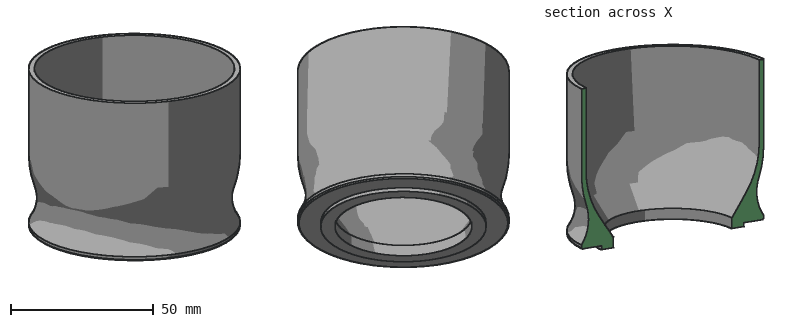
import cadquery as cq

rim_radius = 37.1
wall = 2.0
height = 60.0
outer_wall_bottom = 28.3
inner_wall_bottom = 29.8

waist_blend_radius = 35.2
waist_blend_z = 17.35

spigot_radius = 29.0
spigot_height = 1.4
flange_thickness = 1.6
flange_chamfer = 0.5

bowl_bottom_radius = 29.8
bowl_bottom_z = 12.5
bore_radius = 24.0
bore_length = 4.0

cavity_radius = rim_radius - wall
flange_top = spigot_height + flange_thickness


def outer_body():
    """Solid of revolution inside the outer surface; sketch X is the radius and sketch Y is the height."""
    half_section = (
        cq.Workplane("XZ")
        .moveTo(0, height)
        .lineTo(rim_radius, height)
        .lineTo(rim_radius, outer_wall_bottom)
        .tangentArcPoint((waist_blend_radius, waist_blend_z), relative=False)
        .tangentArcPoint((rim_radius, flange_top), relative=False)
        .lineTo(rim_radius, spigot_height + flange_chamfer)
        .lineTo(rim_radius - flange_chamfer, spigot_height)
        .lineTo(spigot_radius, spigot_height)
        .lineTo(spigot_radius, 0)
        .lineTo(0, 0)
        .close()
    )
    return half_section.revolve(360, (0, 0), (0, 1))


def cavity():
    """Everything removed from the inside, from the open rim down through the bore."""
    half_section = (
        cq.Workplane("XZ")
        .moveTo(0, height)
        .lineTo(cavity_radius, height)
        .lineTo(cavity_radius, inner_wall_bottom)
        .tangentArcPoint((bowl_bottom_radius, bowl_bottom_z), relative=False)
        .lineTo(bore_radius, bore_length)
        .lineTo(bore_radius, 0)
        .lineTo(0, 0)
        .close()
    )
    return half_section.revolve(360, (0, 0), (0, 1))


result = outer_body().cut(cavity())